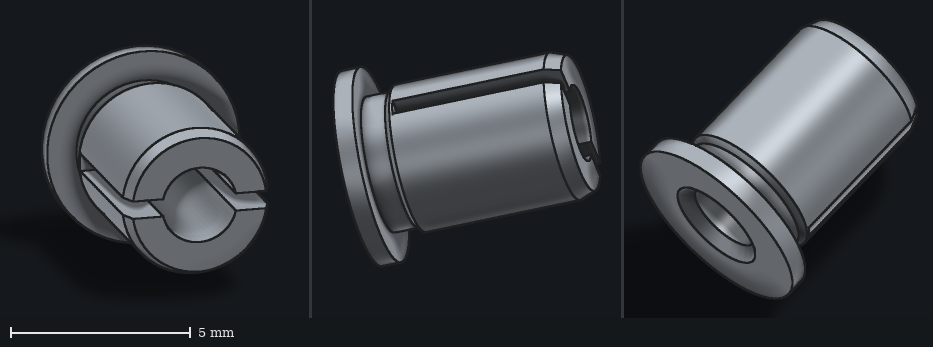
import cadquery as cq

total_length = 6.35
flange_thickness = 0.55
neck_end = 1.25
shoulder_end = 1.42
tip_taper_length = 0.45
slot_start = 1.51

flange_diameter = 5.56
neck_diameter = 3.875
body_diameter = 4.21
tip_diameter = 3.875
bore_diameter = 2.16
countersink_diameter = 2.845

slot_width = 0.5
countersink_depth = (countersink_diameter - bore_diameter) / 2


def turned_sleeve():
    """Flanged sleeve with bore and countersink, revolved about the X axis."""
    taper_start = total_length - tip_taper_length
    half_section = [
        (0, countersink_diameter / 2),
        (0, flange_diameter / 2),
        (flange_thickness, flange_diameter / 2),
        (flange_thickness, neck_diameter / 2),
        (neck_end, neck_diameter / 2),
        (shoulder_end, body_diameter / 2),
        (taper_start, body_diameter / 2),
        (total_length, tip_diameter / 2),
        (total_length, bore_diameter / 2),
        (countersink_depth, bore_diameter / 2),
    ]
    return cq.Workplane("XY").polyline(half_section).close().revolve(360, (0, 0, 0), (1, 0, 0))


def cross_slot():
    """Slot across both walls along Y, open at the tapered end."""
    slot_length = total_length - slot_start
    return (
        cq.Workplane("XY")
        .box(slot_length, flange_diameter, slot_width, centered=(False, True, True))
        .translate((slot_start, 0, 0))
    )


result = turned_sleeve().cut(cross_slot())